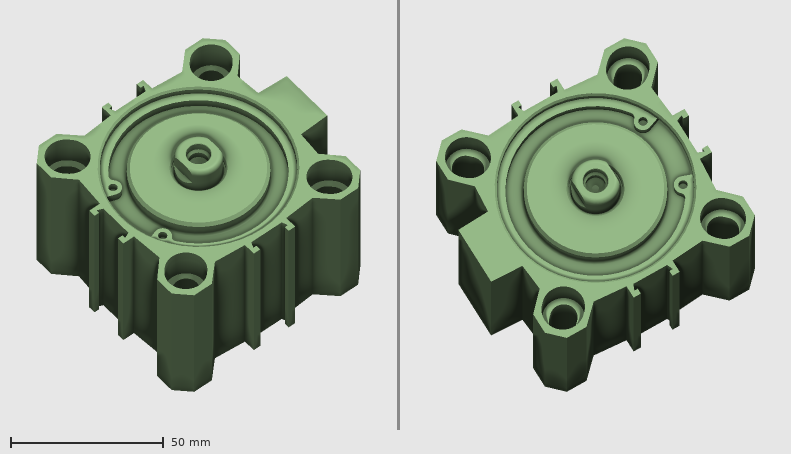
import cadquery as cq
import math

HOUSING_HEIGHT = 52.0
ROD_TOP = 59.0

HOUSING_HALF_WIDTH = 40.0
LOBE_OUTER_CORNER = 34.75
LOBE_INNER_CORNER = 27.3
LOBE_ROOT_X = 20.7
LOBE_ROOT_Y = 33.6
FACE_HALF_WIDTH = 34.6
SLOT_FLOOR = 35.0
RAIL_TIP = 39.1
RAIL_OUTER = 8.8
LIP_INNER = 6.0
LIP_BASE = 37.15
NECK_OUTER = 7.3
NECK_ROOT = 6.45
PORT_BLOCK_TOP = 46.0
PORT_BLOCK_TIP_HALF_WIDTH = 10.5
PORT_BLOCK_ROOT_HALF_WIDTH = 11.0

MOUNT_OFFSET = 30.45
MOUNT_HOLE_DIAMETER = 9.0
MOUNT_HOLE_STRETCH = 1.6
MOUNT_RECESS_DIAMETER = 14.0
MOUNT_RECESS_STRETCH = 1.0
MOUNT_RECESS_DEPTH = 11.2

BORE_DIAMETER = 64.7
BORE_CHAMFER = 0.7
RING_DEPTH = 2.75
RING_THICKNESS = 3.0
RING_OUTER_DIAMETER = 68.2
RING_INNER_DIAMETER = 59.0
EAR_X = 12.8
EAR_Y = -25.7
EAR_RADIUS = 3.0
EAR_BLEND_RADIUS = 1.7
EAR_HOLE_DIAMETER = 3.0

COVER_FLANGE_THICKNESS = 8.6
BOSS_DIAMETER = 47.0
BOSS_HEIGHT = 5.1
BOSS_CHAMFER = 1.0
BOSS_FILLET = 0.95
ROD_HOLE_DIAMETER = 16.5
ROD_RECESS_DIAMETER = 17.7
ROD_RECESS_DEPTH = 1.3
ROD_RECESS_CHAMFER = 0.6
ROD_HOLE_CHAMFER = 0.3

ROD_DIAMETER = 16.0
ROD_FILLET = 1.8
FLAT_HALF_WIDTH = 6.5
FLAT_LENGTH = 5.5
SOCKET_RIM_DIAMETER = 8.6
SOCKET_DIAMETER = 8.25
SOCKET_DEPTH = 2.9
PILOT_DIAMETER = 6.6
PILOT_DEPTH = 6.0
PILOT_TIP_DIAMETER = 2.3
PILOT_TIP_SLOPE = math.radians(30)

RING_TOP = HOUSING_HEIGHT - RING_DEPTH
FLANGE_TOP = RING_TOP - RING_THICKNESS
BORE_FLOOR = FLANGE_TOP - COVER_FLANGE_THICKNESS
BOSS_TOP = FLANGE_TOP + BOSS_HEIGHT


def disc(diameter, bottom, top):
    return cq.Workplane("XY").workplane(offset=bottom).circle(diameter / 2).extrude(top - bottom)


def revolve_profile(points):
    """Turn (radius, height) points about the Z axis."""
    return cq.Workplane("XZ").polyline(points).close().revolve(360, (0, 0, 0), (0, 1, 0))


def mirrored_outline(right_half):
    """Close an outline given from bottom to top on the +X side by mirroring it across X = 0."""
    return right_half + [(-x, y) for x, y in reversed(right_half)]


def make_body_section():
    """Extruded section: four corner lobes joined by slightly tapered faces."""
    quarter = [
        (RAIL_OUTER, FACE_HALF_WIDTH),
        (LOBE_ROOT_X, LOBE_ROOT_Y),
        (LOBE_INNER_CORNER, HOUSING_HALF_WIDTH),
        (LOBE_OUTER_CORNER, HOUSING_HALF_WIDTH),
    ]
    upper_right = quarter + [(y, x) for x, y in reversed(quarter)]
    right_half = [(x, -y) for x, y in upper_right] + upper_right[::-1]
    return cq.Workplane("XY").polyline(mirrored_outline(right_half)).close().extrude(HOUSING_HEIGHT)


def make_switch_rails(angle):
    """Pair of lipped rails on the -Y face, turned about Z by the angle."""
    right_half = [
        (NECK_ROOT, -SLOT_FLOOR),
        (NECK_OUTER, -LIP_BASE),
        (LIP_INNER, -LIP_BASE),
        (LIP_INNER, -RAIL_TIP),
        (RAIL_OUTER, -RAIL_TIP),
        (RAIL_OUTER, -BORE_DIAMETER / 2),
    ]
    outline = mirrored_outline(right_half)
    rails = cq.Workplane("XY").polyline(outline).close().extrude(HOUSING_HEIGHT)
    return rails.rotate((0, 0, 0), (0, 0, 1), angle)


def make_port_block():
    right_half = [
        (PORT_BLOCK_ROOT_HALF_WIDTH, BORE_DIAMETER / 2),
        (PORT_BLOCK_ROOT_HALF_WIDTH, FACE_HALF_WIDTH),
        (PORT_BLOCK_TIP_HALF_WIDTH, PORT_BLOCK_TOP),
    ]
    return cq.Workplane("XY").polyline(mirrored_outline(right_half)).close().extrude(HOUSING_HEIGHT)


def make_mount_hole(angle):
    """Stretched through hole with a recess at the top, on the diagonal at the angle."""
    distance = MOUNT_OFFSET * math.sqrt(2)
    hole = (
        cq.Workplane("XY")
        .center(distance, 0)
        .slot2D(MOUNT_HOLE_DIAMETER + MOUNT_HOLE_STRETCH, MOUNT_HOLE_DIAMETER)
        .extrude(HOUSING_HEIGHT)
    )
    recess = (
        cq.Workplane("XY")
        .workplane(offset=HOUSING_HEIGHT - MOUNT_RECESS_DEPTH)
        .center(distance, 0)
        .slot2D(MOUNT_RECESS_DIAMETER + MOUNT_RECESS_STRETCH, MOUNT_RECESS_DIAMETER)
        .extrude(MOUNT_RECESS_DEPTH)
    )
    return hole.union(recess).rotate((0, 0, 0), (0, 0, 1), angle)


def make_bore():
    """Space for the cover and the ring: a blind bore with a ring groove and a chamfered mouth."""
    bore = BORE_DIAMETER / 2
    groove = RING_OUTER_DIAMETER / 2
    profile = [
        (0, BORE_FLOOR),
        (bore, BORE_FLOOR),
        (bore, FLANGE_TOP),
        (groove, FLANGE_TOP),
        (groove, RING_TOP),
        (bore, RING_TOP),
        (bore, HOUSING_HEIGHT - BORE_CHAMFER),
        (bore + BORE_CHAMFER, HOUSING_HEIGHT),
        (0, HOUSING_HEIGHT),
    ]
    return revolve_profile(profile)


def make_housing():
    housing = make_body_section().union(make_port_block())
    for angle in (-90, 0, 90):
        housing = housing.union(make_switch_rails(angle))
    for angle in (45, 135, 225, 315):
        housing = housing.cut(make_mount_hole(angle))
    return housing.cut(make_bore())


def make_cover():
    """Flange that fills the bore below the ring, with a raised boss around the rod hole."""
    boss = BOSS_DIAMETER / 2
    hole = ROD_HOLE_DIAMETER / 2
    recess = ROD_RECESS_DIAMETER / 2
    recess_floor = BOSS_TOP - ROD_RECESS_DEPTH
    fillet_middle = BOSS_FILLET * (1 - math.sqrt(0.5))
    return (
        cq.Workplane("XZ")
        .moveTo(hole, BORE_FLOOR)
        .lineTo(BORE_DIAMETER / 2, BORE_FLOOR)
        .lineTo(BORE_DIAMETER / 2, FLANGE_TOP)
        .lineTo(boss + BOSS_FILLET, FLANGE_TOP)
        .threePointArc((boss + fillet_middle, FLANGE_TOP + fillet_middle), (boss, FLANGE_TOP + BOSS_FILLET))
        .lineTo(boss, BOSS_TOP - BOSS_CHAMFER)
        .lineTo(boss - BOSS_CHAMFER, BOSS_TOP)
        .lineTo(recess + ROD_RECESS_CHAMFER, BOSS_TOP)
        .lineTo(recess, BOSS_TOP - ROD_RECESS_CHAMFER)
        .lineTo(recess, recess_floor)
        .lineTo(hole + ROD_HOLE_CHAMFER, recess_floor)
        .lineTo(hole, recess_floor - ROD_HOLE_CHAMFER)
        .close()
        .revolve(360, (0, 0, 0), (0, 1, 0))
    )


def polar(radius, angle):
    return (radius * math.cos(angle), radius * math.sin(angle))


def make_retaining_ring():
    """Open ring in the groove; each end carries an ear whose side is a radial gap edge."""
    inner_radius = RING_INNER_DIAMETER / 2
    outer_radius = RING_OUTER_DIAMETER / 2
    ear_distance = math.hypot(EAR_X, EAR_Y)
    ear_angle = math.atan2(EAR_Y, EAR_X)

    gap_angle = ear_angle - math.asin(EAR_RADIUS / ear_distance)
    gap_inner = polar(math.sqrt(ear_distance**2 - EAR_RADIUS**2), gap_angle)
    gap_outer = polar(outer_radius, gap_angle)

    blend_distance = inner_radius - EAR_BLEND_RADIUS
    reach = EAR_RADIUS + EAR_BLEND_RADIUS
    cosine = (ear_distance**2 + blend_distance**2 - reach**2) / (2 * ear_distance * blend_distance)
    blend_angle = ear_angle + math.acos(cosine)
    blend_center = polar(blend_distance, blend_angle)
    blend_end = polar(inner_radius, blend_angle)
    toward_ear = math.atan2(EAR_Y - blend_center[1], EAR_X - blend_center[0])

    def on_circle(center, radius, angle):
        dx, dy = polar(radius, angle)
        return (center[0] + dx, center[1] + dy)

    ear_end = on_circle(blend_center, EAR_BLEND_RADIUS, toward_ear)
    blend_middle_angle = (toward_ear + blend_angle) / 2
    blend_middle = on_circle(blend_center, EAR_BLEND_RADIUS, blend_middle_angle)
    ear_middle = on_circle((EAR_X, EAR_Y), EAR_RADIUS, ear_angle + math.pi)

    def mirror(point):
        return (-point[0], point[1])

    ring = (
        cq.Workplane("XY")
        .workplane(offset=FLANGE_TOP)
        .moveTo(*gap_outer)
        .lineTo(*gap_inner)
        .threePointArc(ear_middle, ear_end)
        .threePointArc(blend_middle, blend_end)
        .threePointArc((0, inner_radius), mirror(blend_end))
        .threePointArc(mirror(blend_middle), mirror(ear_end))
        .threePointArc(mirror(ear_middle), mirror(gap_inner))
        .lineTo(*mirror(gap_outer))
        .threePointArc((0, outer_radius), gap_outer)
        .close()
        .extrude(RING_THICKNESS)
    )
    for x in (-EAR_X, EAR_X):
        hole = disc(EAR_HOLE_DIAMETER, FLANGE_TOP, RING_TOP).translate((x, EAR_Y, 0))
        ring = ring.cut(hole)
    return ring


def make_rod():
    """Rod with a rounded end, two wrench flats and a stepped socket ending in a cone."""
    rod = disc(ROD_DIAMETER, BORE_FLOOR, ROD_TOP).faces(">Z").fillet(ROD_FILLET)

    flat_bottom = ROD_TOP - FLAT_LENGTH
    runout = ROD_DIAMETER - FLAT_HALF_WIDTH
    for side in (-1, 1):
        flat = (
            cq.Workplane("YZ")
            .moveTo(side * FLAT_HALF_WIDTH, ROD_TOP)
            .lineTo(side * FLAT_HALF_WIDTH, flat_bottom)
            .lineTo(side * ROD_DIAMETER, flat_bottom - runout)
            .lineTo(side * ROD_DIAMETER, ROD_TOP)
            .close()
            .extrude(ROD_DIAMETER, both=True)
        )
        rod = rod.cut(flat)

    rim = SOCKET_RIM_DIAMETER / 2
    wall = SOCKET_DIAMETER / 2
    pilot = PILOT_DIAMETER / 2
    tip = PILOT_TIP_DIAMETER / 2
    step = ROD_TOP - SOCKET_DEPTH
    cone = ROD_TOP - PILOT_DEPTH
    tip_floor = cone - (pilot - tip) * math.tan(PILOT_TIP_SLOPE)
    profile = [
        (0, ROD_TOP),
        (rim, ROD_TOP),
        (wall, ROD_TOP - (rim - wall)),
        (wall, step),
        (pilot, step - (wall - pilot)),
        (pilot, cone),
        (tip, tip_floor),
        (0, tip_floor),
    ]
    return rod.cut(revolve_profile(profile))


housing = make_housing()
cover = make_cover()
retaining_ring = make_retaining_ring()
rod = make_rod()
result = cq.Compound.makeCompound([housing.val(), cover.val(), retaining_ring.val(), rod.val()])